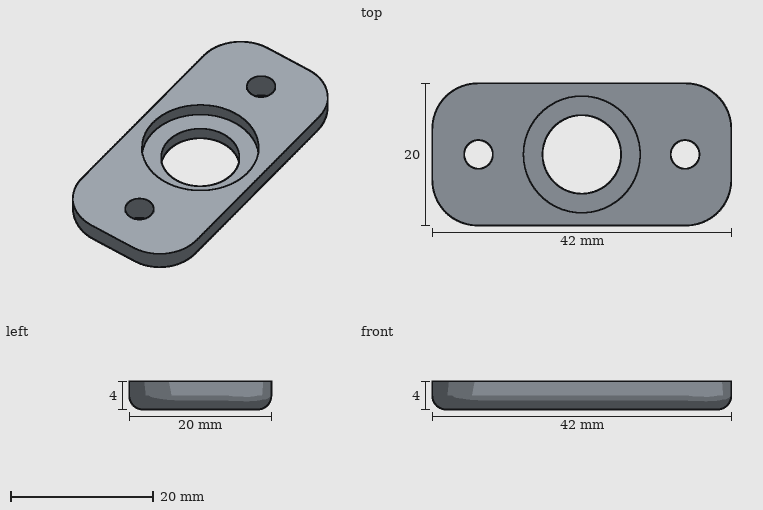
import cadquery as cq

length = 42.0
width = 20.0
thickness = 4.0
corner_radius = 6.4
bottom_edge_radius = 2.0

bore_diameter = 11.0
counterbore_diameter = 16.4
counterbore_depth = 2.0

mounting_hole_diameter = 4.0
mounting_hole_spacing = 29.0


def make_plate():
    """Rounded rectangular plate resting on Z = 0, with its lower rim rounded over."""
    plate = cq.Workplane("XY").box(length, width, thickness, centered=(True, True, False))
    plate = plate.edges("|Z").fillet(corner_radius)
    return plate.faces("<Z").edges().fillet(bottom_edge_radius)


def cut_centre_hole(plate):
    """Through bore with a flat-bottomed counterbore in the top face."""
    return (
        plate.faces(">Z")
        .workplane(origin=(0, 0, thickness))
        .cboreHole(bore_diameter, counterbore_diameter, counterbore_depth)
    )


def cut_mounting_holes(plate):
    """Two through holes on the long centreline, one on each side of the bore."""
    half_spacing = mounting_hole_spacing / 2
    return (
        plate.faces(">Z")
        .workplane(origin=(0, 0, thickness))
        .pushPoints([(-half_spacing, 0), (half_spacing, 0)])
        .hole(mounting_hole_diameter)
    )


result = cut_mounting_holes(cut_centre_hole(make_plate()))